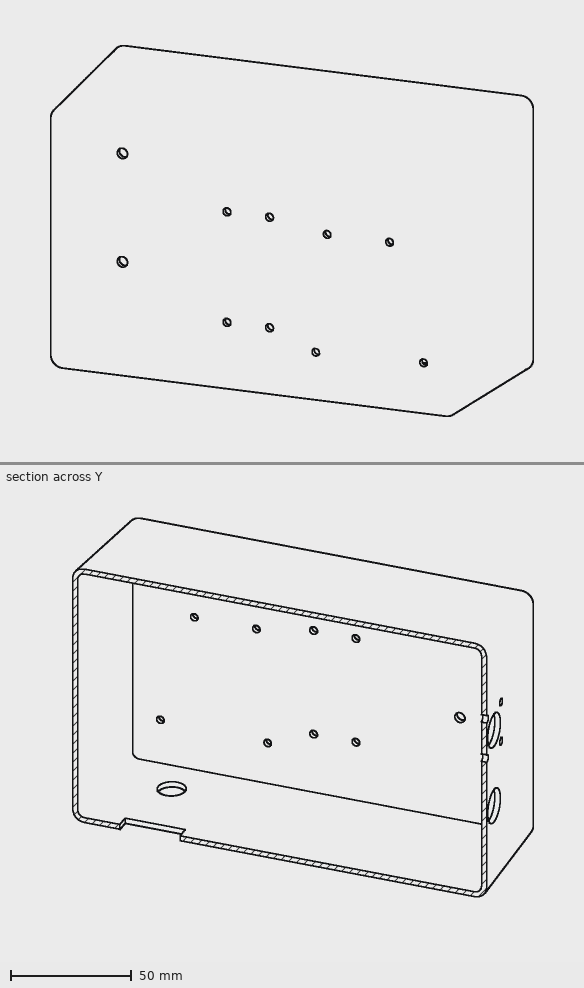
import cadquery as cq

rim_width = 188.0
rim_height = 120.0
depth = 78.0
panel_width = 182.0
wall = 2.5
corner_radius = 5.5
panel_edge_radius = 1.5

bracket_hole_diameter = 4.5
bracket_hole_x = -58.5
bracket_hole_z = (40.5, -6.9)

module_hole_diameter = 3.4
module_center_x = -2.25
module_center_z = -3.45
module_pitch_x = 19.0
module_pitch_z = 48.3

board_hole_diameter = 3.26
board_origin_x = 27.9
board_origin_z = -35.75
board_hole_offsets = ((0, 0), (48.2, 1.3), (5.1, 52.1), (33.0, 52.1))

socket_diameter = 15.0
socket_from_rim = 30.0
socket_z = (15.5, -19.7)
flange_hole_diameter = 3.26
flange_pitch_y = 16.8
flange_pitch_z = 18.3

switch_width = 19.8
switch_length = 13.0
switch_x = 17.4
switch_from_rim = 10.0
inlet_width = 27.0
inlet_length = 20.0
inlet_x = 58.2
inlet_from_rim = 17.0
fuse_diameter = 12.0
fuse_x = 63.3
fuse_from_rim = 57.0

draft_slope = (rim_width - panel_width) / 2 / depth
cut_length = 20.0


def drafted_block(width, height, length, edge_radius):
    """Block with its large end at the rim, narrowing toward -Y, with rounded long edges."""
    shrink = 2 * length * draft_slope
    rim = cq.Workplane("XZ", origin=(0, depth, 0)).rect(width, height)
    block = rim.workplane(offset=length).rect(width - shrink, height - shrink).loft(ruled=True)
    return block.edges("not #Y").fillet(edge_radius)


def make_shell():
    outer = drafted_block(rim_width, rim_height, depth, corner_radius)
    outer = outer.faces("<Y").edges().fillet(panel_edge_radius)
    cavity = drafted_block(
        rim_width - 2 * wall, rim_height - 2 * wall, depth - wall, corner_radius - wall
    )
    return outer.cut(cavity)


def panel_drill(points, diameter):
    """Cylinders through the front panel at the given (x, z) points."""
    plane = cq.Workplane("XZ", origin=(0, cut_length / 2, 0))
    return plane.pushPoints(points).circle(diameter / 2).extrude(cut_length)


def left_wall_plane():
    """Sketch plane on the -X side; local x is Y, local y is Z, and it extrudes toward +X."""
    return cq.Workplane("YZ", origin=(-rim_width / 2 - cut_length / 2, 0, 0))


def lower_wall_plane():
    """Sketch plane below the -Z side; local x is X, local y is Y, and it extrudes toward +Z."""
    return cq.Workplane("XY", origin=(0, 0, -rim_height / 2 - cut_length / 2))


def cut_panel_holes(body):
    bracket_points = [(bracket_hole_x, z) for z in bracket_hole_z]
    module_points = [
        (module_center_x + sx * module_pitch_x / 2, module_center_z + sz * module_pitch_z / 2)
        for sx in (-1, 1)
        for sz in (-1, 1)
    ]
    board_points = [(board_origin_x + dx, board_origin_z + dz) for dx, dz in board_hole_offsets]
    body = body.cut(panel_drill(bracket_points, bracket_hole_diameter))
    body = body.cut(panel_drill(module_points, module_hole_diameter))
    return body.cut(panel_drill(board_points, board_hole_diameter))


def cut_left_wall(body):
    socket_y = depth - socket_from_rim
    sockets = left_wall_plane().pushPoints([(socket_y, z) for z in socket_z])
    body = body.cut(sockets.circle(socket_diameter / 2).extrude(cut_length))
    flange_holes = (
        left_wall_plane()
        .center(socket_y, socket_z[0])
        .rect(flange_pitch_y, flange_pitch_z, forConstruction=True)
        .vertices()
        .circle(flange_hole_diameter / 2)
        .extrude(cut_length)
    )
    return body.cut(flange_holes)


def cut_lower_wall(body):
    switch = lower_wall_plane().center(switch_x, depth - switch_from_rim).rect(switch_width, switch_length)
    inlet = lower_wall_plane().center(inlet_x, depth - inlet_from_rim).rect(inlet_width, inlet_length)
    fuse = lower_wall_plane().center(fuse_x, depth - fuse_from_rim).circle(fuse_diameter / 2)
    for opening in (switch, inlet, fuse):
        body = body.cut(opening.extrude(cut_length))
    return body


result = cut_lower_wall(cut_left_wall(cut_panel_holes(make_shell())))